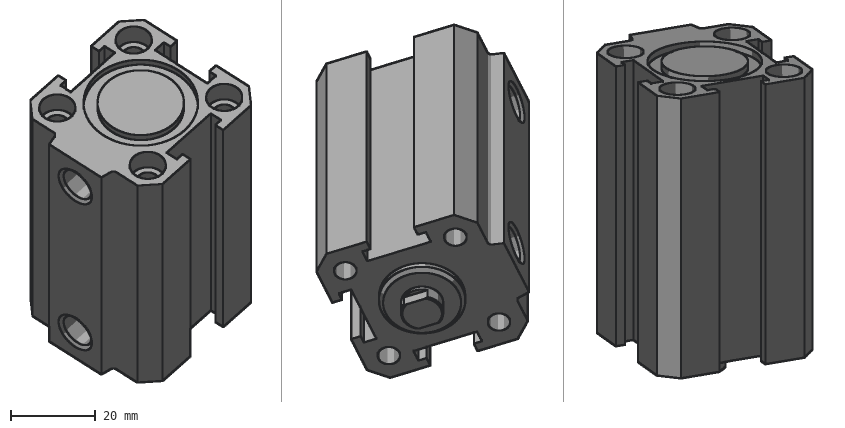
import cadquery as cq
import math

total_height = 77.0
rod_length = 4.0
collar_height = 2.4
collar_top = rod_length + collar_height
body_height = total_height - collar_top

body_width = 41.0
half_width = body_width / 2
corner_chamfer = 4.2

slot_opening = 12.0
slot_width = 16.2
slot_lip = 2.5
slot_depth = 5.6

pad_height = 3.55
pad_width = 16.2
pad_flank_angle = 13.0
pad_root_radius = 1.0

hole_offset = 14.0
hole_diameter = 5.3
counterbore_diameter = 8.55
counterbore_depth = 5.55

recess_diameter = 27.1
boss_diameter = 20.5
recess_depth = 1.8

port_diameter = 8.5
port_mouth_diameter = 10.3
port_mouth_depth = 0.8
port_depth = 9.25
port_end_distance = 9.2

collar_diameter = boss_diameter
collar_chamfer = 1.0
rod_diameter = 10.0
rod_flat_width = 8.0
rod_flat_height = 2.9
rod_tip_chamfer = 0.3


def make_profile():
    """Square body with chamfered corners."""
    return (
        cq.Workplane("XY", origin=(0, 0, collar_top))
        .rect(body_width, body_width)
        .extrude(body_height)
        .edges("|Z")
        .chamfer(corner_chamfer)
    )


def make_pad():
    """Pad with sloping flanks, running the full height of the body, filleted at its root."""
    half_pad = pad_width / 2
    flank = math.radians(pad_flank_angle)
    half_root = half_pad + pad_height * math.tan(flank)
    tangent = pad_root_radius * math.tan((math.pi / 2 - flank) / 2)
    arc_x = half_root - tangent * math.sin(flank)
    arc_y = -half_width - tangent * math.cos(flank)
    arc_end_x = half_root + tangent
    arc_center_y = -half_width - pad_root_radius
    middle_angle = (math.pi / 2 + math.pi - flank) / 2
    mid_x = arc_end_x + pad_root_radius * math.cos(middle_angle)
    mid_y = arc_center_y + pad_root_radius * math.sin(middle_angle)
    return (
        cq.Workplane("XY", origin=(0, 0, collar_top))
        .moveTo(-half_pad, -half_width - pad_height)
        .lineTo(half_pad, -half_width - pad_height)
        .lineTo(arc_x, arc_y)
        .threePointArc((mid_x, mid_y), (arc_end_x, -half_width))
        .lineTo(arc_end_x, 0)
        .lineTo(-arc_end_x, 0)
        .lineTo(-arc_end_x, -half_width)
        .threePointArc((-mid_x, mid_y), (-arc_x, arc_y))
        .close()
        .extrude(body_height)
    )


def make_slot(angle):
    """T-slot cutter for the +X side, turned by an angle about Z."""
    opening = cq.Workplane("XY").box(
        slot_depth, slot_opening, body_height, centered=(False, True, False)
    )
    undercut = cq.Workplane("XY").box(
        slot_depth - slot_lip, slot_width, body_height, centered=(False, True, False)
    )
    return (
        opening.union(undercut)
        .translate((half_width - slot_depth, 0, collar_top))
        .rotate((0, 0, 0), (0, 0, 1), angle)
    )


def make_corner_holes():
    """Through holes, counterbored from the top."""
    spacing = 2 * hole_offset
    through = (
        cq.Workplane("XY")
        .rarray(spacing, spacing, 2, 2)
        .circle(hole_diameter / 2)
        .extrude(total_height)
    )
    counterbores = (
        cq.Workplane("XY", origin=(0, 0, total_height))
        .rarray(spacing, spacing, 2, 2)
        .circle(counterbore_diameter / 2)
        .extrude(-counterbore_depth)
    )
    return through.union(counterbores)


def make_recess():
    """Ring recess that leaves a flush boss at the top."""
    return (
        cq.Workplane("XY", origin=(0, 0, total_height))
        .circle(recess_diameter / 2)
        .circle(boss_diameter / 2)
        .extrude(-recess_depth)
    )


def make_port(z):
    """Blind port with a countersunk mouth, entering the pad along +Y."""
    mouth_radius = port_mouth_diameter / 2
    port_radius = port_diameter / 2
    return (
        cq.Workplane("XY")
        .polyline([
            (0, 0),
            (mouth_radius, 0),
            (port_radius, port_mouth_depth),
            (port_radius, port_depth),
            (0, port_depth),
        ])
        .close()
        .revolve(360, (0, 0), (0, 1))
        .translate((0, -half_width - pad_height, z))
    )


def make_collar():
    """Chamfered collar under the body."""
    return (
        cq.Workplane("XY", origin=(0, 0, rod_length))
        .circle(collar_diameter / 2)
        .extrude(collar_height)
        .faces("<Z")
        .chamfer(collar_chamfer)
    )


def make_housing():
    """Cylinder housing with its slots, holes, ports and collar."""
    housing = make_profile().union(make_pad()).union(make_collar())
    for angle in (0, 90, 180):
        housing = housing.cut(make_slot(angle))
    housing = housing.cut(make_corner_holes()).cut(make_recess())
    for z in (collar_top + port_end_distance, total_height - port_end_distance):
        housing = housing.cut(make_port(z))
    return housing


def make_rod():
    """Rod end below the collar, with two wrench flats at the tip."""
    rod = (
        cq.Workplane("XY")
        .circle(rod_diameter / 2)
        .extrude(rod_length)
        .faces("<Z")
        .chamfer(rod_tip_chamfer)
    )
    for side in (-1, 1):
        flat = cq.Workplane("XY").box(
            rod_diameter, rod_diameter, rod_flat_height, centered=(True, True, False)
        )
        rod = rod.cut(flat.translate((side * (rod_flat_width + rod_diameter) / 2, 0, 0)))
    return rod


housing = make_housing()
rod = make_rod()

result = cq.Compound.makeCompound([housing.val(), rod.val()])